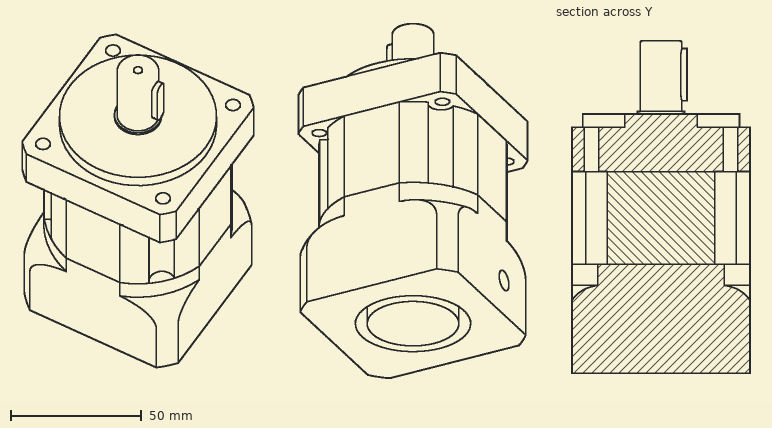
import cadquery as cq
import math


side = 68.0
half_side = side / 2

base_height = 41.7
ring_height = 35.3
flange_height = 17.0
pilot_height = 5.0
shaft_length = 28.0
ring_bottom = base_height
flange_bottom = ring_bottom + ring_height
flange_top = flange_bottom + flange_height
pilot_top = flange_top + pilot_height
shaft_top = pilot_top + shaft_length

base_corner_radius = 44.0
body_radius = 36.0
shoulder_start = 23.8
shoulder_radius = 10.0
bore_radius = 22.0
access_hole_diameter = 8.0
access_hole_y = -10.0
access_hole_z = 15.0

hub_radius = 17.5
screw_groove_radius = 5.0

flange_corner_radius = 45.0
pilot_radius = 30.0
bolt_circle_radius = 37.5
bolt_hole_diameter = 5.5
bolt_angles = [45, 135, 225, 315]

collar_radius = 9.0
collar_height = 1.0
shaft_radius = 8.0
shaft_edge_fillet = 1.0
center_hole_diameter = 3.3
center_hole_depth = 12.0
drill_point_angle = 118.0

key_width = 5.0
key_length = 20.0
key_projection = 2.0
key_height = 5.0
key_top_gap = 3.0


def square_prism(bottom, height):
    return cq.Workplane("XY", origin=(0, 0, bottom)).rect(side, side).extrude(height)


def cylinder(radius, bottom, height):
    return cq.Workplane("XY", origin=(0, 0, bottom)).circle(radius).extrude(height)


def on_diagonals(radius):
    """Points at the given distance from the axis, one toward each corner of the square."""
    return [
        (radius * math.cos(math.radians(angle)), radius * math.sin(math.radians(angle)))
        for angle in bolt_angles
    ]


def make_base():
    arc_center_radius = base_corner_radius - shoulder_radius
    arc_end_angle = math.acos((body_radius - arc_center_radius) / shoulder_radius)
    shoulder_end = shoulder_start + shoulder_radius * math.sin(arc_end_angle)
    arc_middle = (
        arc_center_radius + shoulder_radius * math.cos(arc_end_angle / 2),
        shoulder_start + shoulder_radius * math.sin(arc_end_angle / 2),
    )
    turned = (
        cq.Workplane("XZ")
        .moveTo(0, 0)
        .lineTo(base_corner_radius, 0)
        .lineTo(base_corner_radius, shoulder_start)
        .threePointArc(arc_middle, (body_radius, shoulder_end))
        .lineTo(body_radius, base_height)
        .lineTo(0, base_height)
        .close()
        .revolve(360, (0, 0, 0), (0, 1, 0))
    )
    base = square_prism(0, base_height).intersect(turned)
    base = base.cut(cylinder(bore_radius, 0, base_height))

    access_hole = (
        cq.Workplane("YZ", origin=(-half_side, access_hole_y, access_hole_z))
        .circle(access_hole_diameter / 2)
        .extrude(half_side)
    )
    return base.cut(access_hole)


def make_ring_housing():
    ring = square_prism(ring_bottom, ring_height).intersect(
        cylinder(body_radius, ring_bottom, ring_height)
    )
    screw_grooves = (
        cq.Workplane("XY", origin=(0, 0, ring_bottom))
        .pushPoints(on_diagonals(body_radius))
        .circle(screw_groove_radius)
        .extrude(ring_height)
    )
    return ring.cut(screw_grooves).union(cylinder(hub_radius, 0, ring_bottom))


def make_key():
    """Round-ended key standing out of the shaft on the +X side."""
    key_bottom_x = shaft_radius + key_projection - key_height
    key_middle_z = shaft_top - key_top_gap - key_length / 2
    return (
        cq.Workplane("YZ", origin=(key_bottom_x, 0, key_middle_z))
        .slot2D(key_length, key_width, 90)
        .extrude(key_height)
    )


def make_center_hole():
    radius = center_hole_diameter / 2
    point_depth = radius / math.tan(math.radians(drill_point_angle / 2))
    return (
        cq.Workplane("XZ")
        .moveTo(0, shaft_top)
        .lineTo(radius, shaft_top)
        .lineTo(radius, shaft_top - center_hole_depth)
        .lineTo(0, shaft_top - center_hole_depth - point_depth)
        .close()
        .revolve(360, (0, 0, 0), (0, 1, 0))
    )


def make_output():
    flange = square_prism(flange_bottom, flange_height).intersect(
        cylinder(flange_corner_radius, flange_bottom, flange_height)
    )
    bolt_holes = (
        cq.Workplane("XY", origin=(0, 0, flange_bottom))
        .pushPoints(on_diagonals(bolt_circle_radius))
        .circle(bolt_hole_diameter / 2)
        .extrude(flange_height)
    )
    shaft = cylinder(shaft_radius, pilot_top, shaft_length).faces(">Z").edges().fillet(shaft_edge_fillet)
    return (
        flange.cut(bolt_holes)
        .union(cylinder(pilot_radius, flange_top, pilot_height))
        .union(cylinder(collar_radius, pilot_top, collar_height))
        .union(shaft)
        .union(make_key())
        .cut(make_center_hole())
    )


base = make_base()
ring_housing = make_ring_housing()
output = make_output()

result = cq.Compound.makeCompound([base.val(), ring_housing.val(), output.val()])